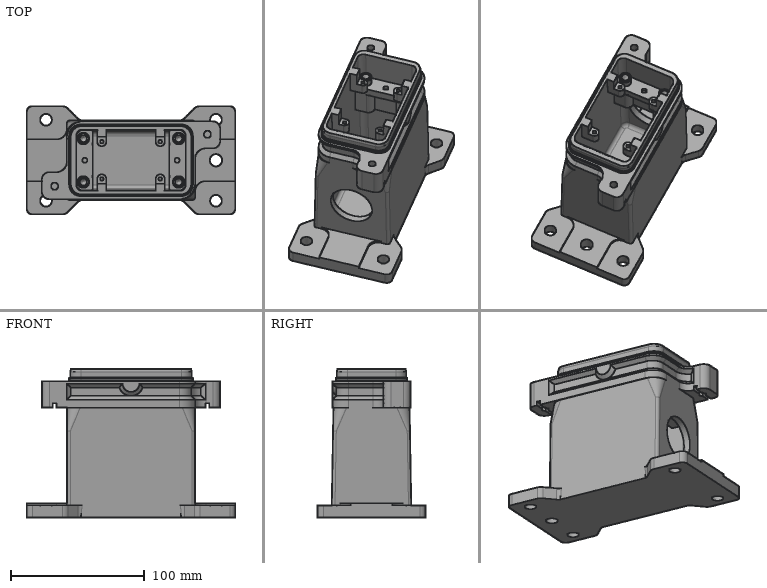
import cadquery as cq
import math

PLATE_LENGTH = 156.0
PLATE_WIDTH = 81.0
PLATE_THICKNESS = 9.2
PLATE_CORNER_RADIUS = 4.4
WAIST_INSET = 0.23
WAIST_BEND_RADIUS = 5.8
PAD_INNER_X = 49.0
MOUNT_HOLE_X = 63.5
MOUNT_HOLE_Y = 30.3
MOUNT_HOLE_DIAMETER = 8.6
EXTRA_HOLE_DIAMETER = 9.0
STRIP_TOP = 10.8
STRIP_HALF_WIDTH = 15.6
STRIP_FLARE_RADIUS = 7.8

BODY_HALF_LENGTH = 47.9
BODY_HALF_WIDTH_BOTTOM = 30.0
BODY_HALF_WIDTH_TOP = 28.5
BODY_EDGE_RADIUS = 2.3
BODY_TOP_EDGE_RADIUS = 9.7
CORNER_BLEND_START = 64.7

FLANGE_BOTTOM = 82.2
FLANGE_TOP = 102.0
FLANGE_HALF_WIDTH = 29.2
FLANGE_CORNER_RADIUS = 11.7
EAR_END_X = 66.6
EAR_INNER_Y = 8.9
EAR_CORNER_RADIUS = 5.5
EAR_ROOT_RADIUS = 8.0
EAR_HOLE_X = 57.1
EAR_HOLE_Y = 19.3
EAR_HOLE_DIAMETER = 5.3
EAR_SLOT_WIDTH = 2.7
EAR_SLOT_HEIGHT = 3.1

GROOVE_BOTTOM = 88.1
GROOVE_TOP = 100.2
GROOVE_DEPTH = 3.0
GROOVE_END_SLOPE = 4.5
STOP_RADIUS = 6.2

TOTAL_HEIGHT = 111.0
COLLAR_HALF_LENGTH = 45.5
COLLAR_HALF_WIDTH = 26.0
COLLAR_CORNER_RADIUS = 8.1
COLLAR_LEAD_IN = 0.6
COLLAR_LEAD_IN_HEIGHT = 2.0
BEAD_BOTTOM = 102.6
BEAD_TOP = 104.8
BEAD_PROJECTION = 0.8

MOUTH_HALF_LENGTH = 40.9
MOUTH_HALF_WIDTH = 23.0
MOUTH_CORNER_RADIUS = 4.7
CHAMBER_HALF_LENGTH = 42.7
CHAMBER_FLOOR_HALF_WIDTH = 21.2
CHAMBER_FLOOR = 13.9
CHAMBER_TOP = 62.4
CHAMBER_FLOOR_RADIUS = 3.1
ENTRY_RADIUS = 16.2
ENTRY_HEIGHT = 42.0

SHELF_INNER_X = 28.7
SHELF_TOP = 87.4
SHELF_RECESS_HALF_WIDTH = 13.4
SHELF_RECESS_TOP = 81.1
SHELF_RECESS_DEPTH = 4.8
SHELF_HOLE_X = 34.5
SHELF_HOLE_DIAMETER = 3.7
SHELF_HOLE_DEPTH = 3.1
POST_X = 35.5
POST_Y = 16.2
POST_RADIUS = 4.4
POST_TOP = 93.3
POST_CHAMFER = 0.5
POST_CONE_DIAMETER = 5.3

TAB_X = 21.8
TAB_HOLE_Y = 13.9
TAB_WIDTH = 6.7
TAB_RIB_Y = 17.6
TAB_TOP = 101.2
TAB_BOTTOM = 93.1
TAB_HOLE_DIAMETER = 2.7
TAB_HOLE_DEPTH = 4.7

WALL_OVERLAP = 1.5
MARGIN = 15.6
SIDES = (-1, 1)
QUADRANTS = [(sx, sy) for sx in SIDES for sy in SIDES]


def rounded_rectangle(half_length, half_width, radius):
    sketch = cq.Sketch().rect(2 * half_length, 2 * half_width)
    return sketch.vertices().fillet(radius)


def prism(half_length, half_width, radius, bottom, top):
    outline = rounded_rectangle(half_length, half_width, radius)
    return cq.Workplane("XY", origin=(0, 0, bottom)).placeSketch(outline).extrude(top - bottom)


def box_between(x_range, y_range, z_range):
    spans = [abs(b - a) for a, b in (x_range, y_range, z_range)]
    corner = [min(r) for r in (x_range, y_range, z_range)]
    return cq.Workplane("XY", origin=tuple(corner)).box(*spans, centered=False)


def loft_between(lower, upper, bottom, top):
    raised = upper.moved(cq.Location(cq.Vector(0, 0, top - bottom)))
    return cq.Workplane("XY", origin=(0, 0, bottom)).placeSketch(lower, raised).loft()


def vertical_cylinder(x, y, diameter, bottom, top):
    return cq.Workplane("XY", origin=(x, y, bottom)).circle(diameter / 2).extrude(top - bottom)


def make_plate():
    half_length = PLATE_LENGTH / 2
    half_width = PLATE_WIDTH / 2
    pad_middle_x = (half_length + PAD_INNER_X) / 2
    waist_half_width = BODY_HALF_WIDTH_BOTTOM - WAIST_INSET
    waist_x = PAD_INNER_X - (half_width - waist_half_width)
    quarter = [
        (half_length, half_width),
        (PAD_INNER_X, half_width),
        (waist_x, waist_half_width),
    ]
    upper = quarter + [(-x, y) for x, y in reversed(quarter)]
    outline = upper + [(-x, -y) for x, y in upper]
    plate = cq.Workplane("XY").polyline(outline).close().extrude(PLATE_THICKNESS)
    upright_edges = plate.edges("|Z").vals()
    corners = [e for e in upright_edges if abs(e.Center().x) > pad_middle_x]
    plate = plate.newObject(corners).fillet(PLATE_CORNER_RADIUS)
    upright_edges = plate.edges("|Z").vals()
    bends = [e for e in upright_edges if abs(e.Center().x) < pad_middle_x]
    plate = plate.newObject(bends).fillet(WAIST_BEND_RADIUS)
    return plate.union(make_strip())


def make_strip():
    """Raised strip that flares out where it meets the ends of the body."""
    half_length = PLATE_LENGTH / 2
    foot_half_width = STRIP_HALF_WIDTH + STRIP_FLARE_RADIUS
    strip = cq.Workplane("XY").rect(PLATE_LENGTH, 2 * STRIP_HALF_WIDTH).extrude(STRIP_TOP)
    for side in SIDES:
        flare_x = side * (BODY_HALF_LENGTH + STRIP_FLARE_RADIUS)
        flare = box_between((0, flare_x), (-foot_half_width, foot_half_width), (0, STRIP_TOP))
        for edge in SIDES:
            scoop = vertical_cylinder(flare_x, edge * foot_half_width,
                                      2 * STRIP_FLARE_RADIUS, 0, STRIP_TOP)
            flare = flare.cut(scoop)
        strip = strip.union(flare)
    return strip


def drill_plate(part):
    for sx, sy in QUADRANTS:
        part = part.cut(vertical_cylinder(sx * MOUNT_HOLE_X, sy * MOUNT_HOLE_Y,
                                          MOUNT_HOLE_DIAMETER, 0, STRIP_TOP))
    return part.cut(vertical_cylinder(MOUNT_HOLE_X, 0, EXTRA_HOLE_DIAMETER, 0, STRIP_TOP))


def make_body():
    """Drafted long sides with narrow corner rounds that widen towards the flange."""
    taper = (BODY_HALF_WIDTH_BOTTOM - BODY_HALF_WIDTH_TOP) / FLANGE_BOTTOM
    blend_half_width = BODY_HALF_WIDTH_TOP + taper * (FLANGE_BOTTOM - CORNER_BLEND_START)
    base = rounded_rectangle(BODY_HALF_LENGTH, BODY_HALF_WIDTH_BOTTOM, BODY_EDGE_RADIUS)
    blend = rounded_rectangle(BODY_HALF_LENGTH, blend_half_width, BODY_EDGE_RADIUS)
    shoulder = rounded_rectangle(BODY_HALF_LENGTH, BODY_HALF_WIDTH_TOP, BODY_TOP_EDGE_RADIUS)
    lower = loft_between(base, blend, 0, CORNER_BLEND_START)
    upper = loft_between(blend, shoulder, CORNER_BLEND_START, FLANGE_BOTTOM)
    return lower.union(upper)


def flange_outline(inset=0.0):
    """Closed outline of the flange, moved inwards by the inset.

    One half holds an ear, its root and a body corner; the other half is its half-turn copy.
    """
    side_x = BODY_HALF_LENGTH - inset
    edge_y = FLANGE_HALF_WIDTH - inset
    ear_x = EAR_END_X - inset
    ear_y = EAR_INNER_Y + inset
    corner = FLANGE_CORNER_RADIUS - inset
    ear_corner = EAR_CORNER_RADIUS - inset
    root = EAR_ROOT_RADIUS + inset
    mid_arc = math.sqrt(0.5)
    outline = cq.Workplane("XY").moveTo(corner - side_x, edge_y)
    for s in reversed(SIDES):
        def arc(center, radius, mid, end, s=s):
            middle = [s * (c + radius * mid_arc * m) for c, m in zip(center, mid)]
            finish = [s * (c + radius * e) for c, e in zip(center, end)]
            return outline.threePointArc(tuple(middle), tuple(finish))
        ear_center_x = ear_x - ear_corner
        outline = outline.lineTo(s * ear_center_x, s * edge_y)
        outline = arc((ear_center_x, edge_y - ear_corner), ear_corner, (1, 1), (1, 0))
        outline = outline.lineTo(s * ear_x, s * (ear_y + ear_corner))
        outline = arc((ear_center_x, ear_y + ear_corner), ear_corner, (1, -1), (0, -1))
        outline = outline.lineTo(s * (side_x + root), s * ear_y)
        outline = arc((side_x + root, ear_y - root), root, (-1, 1), (-1, 0))
        outline = outline.lineTo(s * side_x, s * (corner - edge_y))
        outline = arc((side_x - corner, corner - edge_y), corner, (1, -1), (0, -1))
    return outline.close()


def flange_layer(bottom, top, inset_bottom, inset_top):
    lower = flange_outline(inset_bottom).val().moved(cq.Location(cq.Vector(0, 0, bottom)))
    upper = flange_outline(inset_top).val().moved(cq.Location(cq.Vector(0, 0, top)))
    return cq.Workplane("XY").add(cq.Solid.makeLoft([lower, upper], True))


def make_flange():
    flange = flange_outline().extrude(FLANGE_TOP - FLANGE_BOTTOM)
    flange = flange.translate((0, 0, FLANGE_BOTTOM))
    groove = make_groove()
    for turn in (0, 180):
        flange = flange.cut(groove.rotate((0, 0, 0), (0, 0, 1), turn))
    for side in SIDES:
        x = side * EAR_HOLE_X
        flange = flange.cut(vertical_cylinder(x, side * EAR_HOLE_Y, EAR_HOLE_DIAMETER,
                                              FLANGE_BOTTOM, FLANGE_TOP))
        slot = box_between((x - EAR_SLOT_WIDTH / 2, x + EAR_SLOT_WIDTH / 2),
                           (0, side * (FLANGE_HALF_WIDTH + MARGIN)),
                           (FLANGE_BOTTOM, FLANGE_BOTTOM + EAR_SLOT_HEIGHT))
        flange = flange.cut(slot)
    return flange


def make_groove():
    """Cutter for the groove along the -Y side, around the corner and into the +X ear root."""
    start_x = -BODY_HALF_LENGTH
    end_x = BODY_HALF_LENGTH + EAR_ROOT_RADIUS
    outer_y = -FLANGE_HALF_WIDTH - MARGIN
    reach = [
        (start_x, outer_y),
        (end_x, outer_y),
        (end_x, EAR_INNER_Y),
        (end_x - GROOVE_END_SLOPE, EAR_INNER_Y + GROOVE_DEPTH),
        (start_x + GROOVE_DEPTH, GROOVE_DEPTH - FLANGE_HALF_WIDTH),
        (start_x, -FLANGE_HALF_WIDTH),
    ]
    height = GROOVE_TOP - GROOVE_BOTTOM
    cutter = cq.Workplane("XY", origin=(0, 0, GROOVE_BOTTOM)).polyline(reach).close().extrude(height)
    floor_bottom = GROOVE_BOTTOM + GROOVE_DEPTH
    floor_top = GROOVE_TOP - GROOVE_DEPTH
    cutter = cutter.cut(flange_layer(GROOVE_BOTTOM, floor_bottom, 0, GROOVE_DEPTH))
    cutter = cutter.cut(flange_layer(floor_bottom, floor_top, GROOVE_DEPTH, GROOVE_DEPTH))
    cutter = cutter.cut(flange_layer(floor_top, GROOVE_TOP, GROOVE_DEPTH, 0))
    stop = cq.Solid.makeCone(STOP_RADIUS, STOP_RADIUS + GROOVE_DEPTH, GROOVE_DEPTH,
                             cq.Vector(0, -FLANGE_HALF_WIDTH, GROOVE_TOP), cq.Vector(0, 1, 0))
    return cutter.cut(cq.Workplane("XY").add(stop))


def make_collar():
    lead_in_start = TOTAL_HEIGHT - COLLAR_LEAD_IN_HEIGHT
    wall = rounded_rectangle(COLLAR_HALF_LENGTH, COLLAR_HALF_WIDTH, COLLAR_CORNER_RADIUS)
    rim = rounded_rectangle(COLLAR_HALF_LENGTH - COLLAR_LEAD_IN,
                            COLLAR_HALF_WIDTH - COLLAR_LEAD_IN,
                            COLLAR_CORNER_RADIUS - COLLAR_LEAD_IN)
    collar = prism(COLLAR_HALF_LENGTH, COLLAR_HALF_WIDTH, COLLAR_CORNER_RADIUS,
                   FLANGE_TOP, lead_in_start)
    collar = collar.union(loft_between(wall, rim, lead_in_start, TOTAL_HEIGHT))
    bead = prism(COLLAR_HALF_LENGTH + BEAD_PROJECTION, COLLAR_HALF_WIDTH + BEAD_PROJECTION,
                 COLLAR_CORNER_RADIUS + BEAD_PROJECTION, BEAD_BOTTOM, BEAD_TOP)
    bead = bead.faces(">Z").edges().chamfer(BEAD_PROJECTION)
    return collar.union(bead)


def make_cavity():
    """Drafted cavity; its lower chamber is longer than the mouth."""
    draft = (MOUTH_HALF_WIDTH - CHAMBER_FLOOR_HALF_WIDTH) / (TOTAL_HEIGHT - CHAMBER_FLOOR)
    throat_half_width = CHAMBER_FLOOR_HALF_WIDTH + draft * (CHAMBER_TOP - CHAMBER_FLOOR)

    def section(half_length, half_width):
        return rounded_rectangle(half_length, half_width, MOUTH_CORNER_RADIUS)

    chamber = loft_between(section(CHAMBER_HALF_LENGTH, CHAMBER_FLOOR_HALF_WIDTH),
                           section(CHAMBER_HALF_LENGTH, throat_half_width),
                           CHAMBER_FLOOR, CHAMBER_TOP)
    chamber = chamber.faces("<Z").edges().fillet(CHAMBER_FLOOR_RADIUS)
    throat = loft_between(section(MOUTH_HALF_LENGTH, throat_half_width),
                          section(MOUTH_HALF_LENGTH, MOUTH_HALF_WIDTH),
                          CHAMBER_TOP, TOTAL_HEIGHT)
    return chamber.union(throat)


def make_shelf(side):
    """Shelf block across one end of the cavity, with two posts and a recess below."""
    wall_x = MOUTH_HALF_LENGTH + WALL_OVERLAP
    shelf = box_between((side * SHELF_INNER_X, side * wall_x),
                        (-MOUTH_HALF_WIDTH, MOUTH_HALF_WIDTH), (CHAMBER_TOP, SHELF_TOP))
    recess_back = side * (SHELF_INNER_X + SHELF_RECESS_DEPTH)
    recess = box_between((side * SHELF_INNER_X, recess_back),
                         (-SHELF_RECESS_HALF_WIDTH, SHELF_RECESS_HALF_WIDTH),
                         (CHAMBER_TOP, SHELF_RECESS_TOP))
    for sy in SIDES:
        recess = recess.cut(vertical_cylinder(recess_back, sy * SHELF_RECESS_HALF_WIDTH,
                                              2 * SHELF_RECESS_DEPTH,
                                              CHAMBER_TOP, SHELF_RECESS_TOP))
    shelf = shelf.cut(recess)
    for sy in SIDES:
        x = side * POST_X
        y = sy * POST_Y
        post = vertical_cylinder(x, y, 2 * POST_RADIUS, SHELF_TOP, POST_TOP)
        post = post.faces(">Z").edges().chamfer(POST_CHAMFER)
        post_seat = cq.Solid.makeCone(POST_CONE_DIAMETER / 2, 0, POST_CONE_DIAMETER / 2,
                                      cq.Vector(x, y, POST_TOP), cq.Vector(0, 0, -1))
        shelf = shelf.union(post.cut(cq.Workplane("XY").add(post_seat)))
    return shelf.cut(vertical_cylinder(side * SHELF_HOLE_X, 0, SHELF_HOLE_DIAMETER,
                                       SHELF_TOP - SHELF_HOLE_DEPTH, SHELF_TOP))


def make_tab(sx, sy):
    """Screw tab with a rounded end, backed by a rib that reaches the rim."""
    x = sx * TAB_X
    hole_y = sy * TAB_HOLE_Y
    x_range = (x - TAB_WIDTH / 2, x + TAB_WIDTH / 2)
    wall_y = sy * (MOUTH_HALF_WIDTH + WALL_OVERLAP)
    tab = box_between(x_range, (hole_y, wall_y), (TAB_BOTTOM, TAB_TOP))
    tab = tab.union(vertical_cylinder(x, hole_y, TAB_WIDTH, TAB_BOTTOM, TAB_TOP))
    tab = tab.union(box_between(x_range, (sy * TAB_RIB_Y, wall_y), (TAB_BOTTOM, TOTAL_HEIGHT)))
    return tab.cut(vertical_cylinder(x, hole_y, TAB_HOLE_DIAMETER,
                                     TAB_TOP - TAB_HOLE_DEPTH, TAB_TOP))


def make_cable_entry():
    """Round opening through the -X wall into the chamber."""
    entry = cq.Workplane("YZ", origin=(-BODY_HALF_LENGTH - MARGIN, 0, ENTRY_HEIGHT))
    return entry.circle(ENTRY_RADIUS).extrude(BODY_HALF_LENGTH)


housing = drill_plate(make_plate())
housing = housing.union(make_body()).union(make_flange()).union(make_collar())
housing = housing.cut(make_cavity()).cut(make_cable_entry())
for end in SIDES:
    housing = housing.union(make_shelf(end))
for quadrant in QUADRANTS:
    housing = housing.union(make_tab(*quadrant))

result = housing